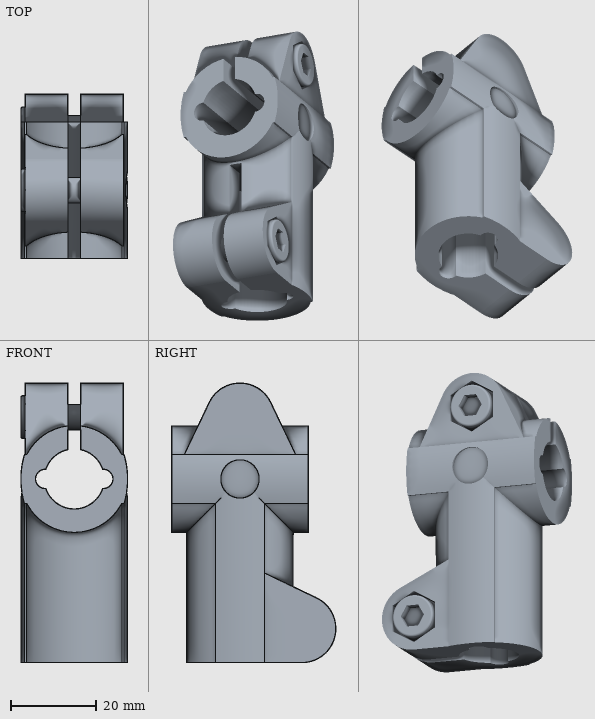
import cadquery as cq
import math


tube_radius = 12.5
cross_length = 32.0
total_height = 65.5

band_half_width = 5.7
band_radius = 20.0

bore_diameter = 14.0
groove_radius = 2.2
groove_reach = 9.05
upright_bore_depth = 30.0

lug_radius = 8.0
lug_half_width = 11.5
lug_foot = 13.0
screw_offset = 14.5
slit_width = 3.0

recess_diameter = 9.0

shank_diameter = 6.0
head_diameter = 10.0
head_height = 6.0
head_fillet = 0.45
pocket_across_flats = 10.7
socket_across_flats = 5.05
socket_depth = 2.7

cross_height = total_height - screw_offset - lug_radius
upright_screw_height = lug_radius
screw_places = [
    (screw_offset, upright_screw_height),
    (0, cross_height + screw_offset),
]
head_seat_x = head_height - tube_radius
pocket_depth = lug_half_width + head_seat_x
tool_length = 2 * total_height


def across_corners(across_flats):
    return across_flats / math.cos(math.pi / 6)


def tube(length):
    """Round tube blank along +Z with a shallow curved band on each X side."""
    edge_drop = band_radius - math.sqrt(band_radius**2 - band_half_width**2)
    edge_x = tube_radius - edge_drop
    bands = (
        cq.Workplane("XY")
        .moveTo(edge_x, -band_half_width)
        .threePointArc((tube_radius, 0), (edge_x, band_half_width))
        .lineTo(-edge_x, band_half_width)
        .threePointArc((-tube_radius, 0), (-edge_x, -band_half_width))
        .close()
        .extrude(length)
    )
    return cq.Workplane("XY").circle(tube_radius).extrude(length).union(bands)


def flank_tangent(foot):
    """Touch point on the lug nose of a flank starting at the band edge, as (outward, sideways) offsets."""
    foot_drop = screw_offset - band_half_width
    foot_distance = math.hypot(foot, foot_drop)
    angle = math.acos(lug_radius / foot_distance) - math.atan2(foot_drop, foot)
    return lug_radius * math.sin(angle), lug_radius * math.cos(angle)


def lug(screw_height, lower_foot):
    """Round-nosed lug toward +Y, with both flanks tangent to the nose."""
    upper_out, upper_side = flank_tangent(lug_foot)
    lower_out, lower_side = flank_tangent(lower_foot)
    return (
        cq.Workplane("YZ", origin=(-lug_half_width, 0, screw_height))
        .moveTo(0, -lower_foot)
        .lineTo(band_half_width, -lower_foot)
        .lineTo(screw_offset + lower_out, -lower_side)
        .threePointArc((screw_offset + lug_radius, 0), (screw_offset + upper_out, upper_side))
        .lineTo(band_half_width, lug_foot)
        .lineTo(0, lug_foot)
        .close()
        .extrude(2 * lug_half_width)
    )


def clamp_opening(length):
    """Grooved bore along +Z together with the slit that opens it toward +Y."""
    bore = cq.Workplane("XY").circle(bore_diameter / 2).extrude(length)
    grooves = cq.Workplane("XY").slot2D(2 * groove_reach, 2 * groove_radius).extrude(length)
    slit = cq.Workplane("XY").box(slit_width, tool_length, length, centered=(True, False, False))
    return bore.union(grooves).union(slit)


def screw_pocket(screw_y, screw_z):
    """Hexagonal pocket in the -X lug face, open outward."""
    return (
        cq.Workplane("YZ", origin=(head_seat_x, screw_y, screw_z))
        .transformed(rotate=(0, 0, 90))
        .polygon(6, across_corners(pocket_across_flats))
        .extrude(-pocket_depth)
    )


def screw(screw_y, screw_z):
    """Socket head screw along X with its head at -X and its shank bridging the slit."""
    seat = cq.Workplane("YZ", origin=(head_seat_x, screw_y, screw_z))
    head = seat.circle(head_diameter / 2).extrude(-head_height).faces("<X").edges().fillet(head_fillet)
    socket = (
        cq.Workplane("YZ", origin=(-tube_radius, screw_y, screw_z))
        .polygon(6, across_corners(socket_across_flats))
        .extrude(socket_depth)
    )
    shank = seat.circle(shank_diameter / 2).extrude(-2 * head_seat_x)
    return head.cut(socket).union(shank)


def place_cross(shape):
    """Turn a clamp feature so that its bore lies along Y and its lug points up."""
    return (
        shape.rotate((0, 0, 0), (1, 0, 0), 90)
        .translate((0, cross_length / 2, cross_height))
    )


upright = tube(cross_height).union(lug(upright_screw_height, lug_radius))
cross = tube(cross_length).union(lug(cross_length / 2, lug_foot))
body = upright.union(place_cross(cross))

body = body.cut(clamp_opening(upright_bore_depth))
body = body.cut(place_cross(clamp_opening(cross_length)))

for side in (-1, 1):
    recess = (
        cq.Workplane("YZ", origin=(side * lug_half_width, 0, cross_height))
        .circle(recess_diameter / 2)
        .extrude(side * lug_half_width)
    )
    body = body.cut(recess)

for screw_y, screw_z in screw_places:
    body = body.cut(screw_pocket(screw_y, screw_z)).union(screw(screw_y, screw_z))

result = body